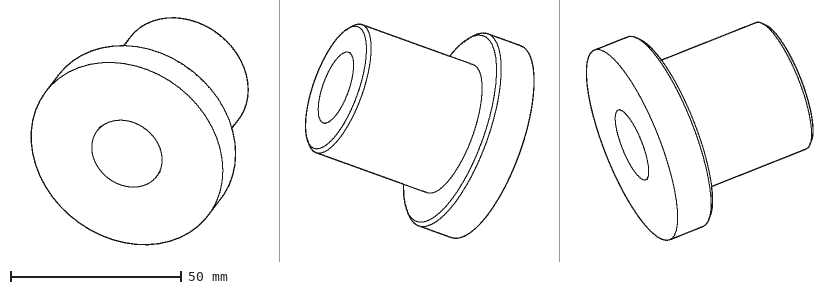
import cadquery as cq

flange_diameter = 60.0
flange_thickness = 12.0
barrel_diameter = 40.0
overall_length = 50.0
bore_diameter = 22.0
edge_chamfer = 1.0


def cylinder_along_y(diameter, length):
    """Cylinder starting at the flange face (Y = 0) and running toward +Y."""
    return cq.Workplane("XZ").circle(diameter / 2).extrude(-length)


flange = cylinder_along_y(flange_diameter, flange_thickness).faces(">Y").chamfer(edge_chamfer)
barrel = cylinder_along_y(barrel_diameter, overall_length).faces(">Y").chamfer(edge_chamfer)

bore = cylinder_along_y(bore_diameter, overall_length)

result = flange.union(barrel).cut(bore)